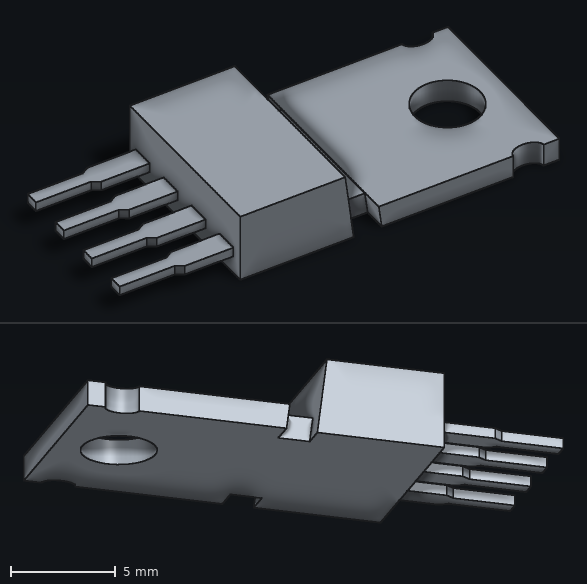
import cadquery as cq

total_length = 24.05

tab_width = 10.17
tab_height = 1.27
tab_end_bottom_y = 14.12
tab_end_top_y = 13.95
hole_diameter = 3.65
hole_y = 20.9
notch_depth = 0.53
notch_half_length = 0.85
notch_y = 22.32

neck_width = 7.6
neck_height = 1.23

body_width = 10.1
body_height = 3.82
body_front_y = 6.2
body_rear_bottom_y = 12.55
body_rear_top_y = 12.07
body_center_x = (tab_width - body_width) / 2

lead_count = 4
lead_pitch = 2.55
lead_wide = 1.27
lead_narrow = 0.77
lead_bottom_z = 1.0
lead_thickness = 0.53
taper_start_y = 3.08
taper_end_y = 3.49


def extrude_side_profile(points, width, center_x=0):
    """Extrude a (Y, Z) outline along X, centred on center_x."""
    profile = cq.Workplane("YZ", origin=(center_x, 0, 0)).polyline(points).close()
    return profile.extrude(width / 2, both=True)


def make_tab():
    tab = extrude_side_profile(
        [
            (tab_end_bottom_y, 0),
            (total_length, 0),
            (total_length, tab_height),
            (tab_end_top_y, tab_height),
        ],
        tab_width,
    )
    hole = cq.Workplane("XY").center(0, hole_y).circle(hole_diameter / 2).extrude(tab_height)
    notches = (
        cq.Workplane("XY")
        .pushPoints([(-tab_width / 2, notch_y), (tab_width / 2, notch_y)])
        .ellipse(notch_depth, notch_half_length)
        .extrude(tab_height)
    )
    return tab.cut(hole).cut(notches)


def make_neck():
    return extrude_side_profile(
        [
            (body_rear_top_y, 0),
            (tab_end_bottom_y, 0),
            (tab_end_bottom_y, neck_height),
            (body_rear_top_y, neck_height),
        ],
        neck_width,
    )


def make_body():
    return extrude_side_profile(
        [
            (body_front_y, 0),
            (body_rear_bottom_y, 0),
            (body_rear_top_y, body_height),
            (body_front_y, body_height),
        ],
        body_width,
        body_center_x,
    )


def make_lead(center_x):
    outline = [
        (-lead_narrow / 2, 0),
        (lead_narrow / 2, 0),
        (lead_narrow / 2, taper_start_y),
        (lead_wide / 2, taper_end_y),
        (lead_wide / 2, body_front_y),
        (-lead_wide / 2, body_front_y),
        (-lead_wide / 2, taper_end_y),
        (-lead_narrow / 2, taper_start_y),
    ]
    plane = cq.Workplane("XY", origin=(center_x, 0, lead_bottom_z))
    return plane.polyline(outline).close().extrude(lead_thickness)


result = make_tab().union(make_neck()).union(make_body())
for index in range(lead_count):
    lead_x = (index - (lead_count - 1) / 2) * lead_pitch
    result = result.union(make_lead(lead_x))